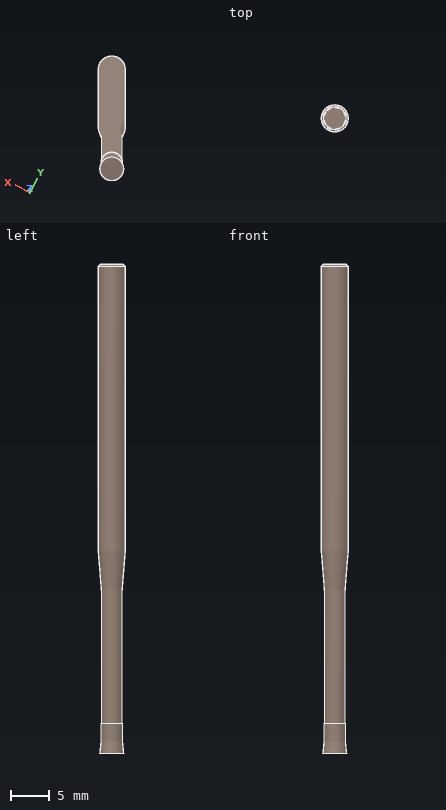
import cadquery as cq

overall_length = 63.0
flare_height = 1.5
head_length = 3.9
neck_top = 21.0
taper_top = 26.0
shank_chamfer_height = 0.3

shank_diameter = 3.5
neck_diameter = 2.7
head_diameter = 2.8
tip_diameter = 3.1
shank_chamfer_width = 0.3


def turned(profile):
    """Revolve a closed (radius, height) outline around the Z axis."""
    return cq.Workplane("YZ").polyline(profile).close().revolve(360, (0, 0, 0), (0, 1, 0))


head = turned([
    (0, 0),
    (tip_diameter / 2, 0),
    (head_diameter / 2, flare_height),
    (head_diameter / 2, head_length),
    (0, head_length),
])

holder = turned([
    (0, head_length),
    (neck_diameter / 2, head_length),
    (neck_diameter / 2, neck_top),
    (shank_diameter / 2, taper_top),
    (shank_diameter / 2, overall_length - shank_chamfer_height),
    (shank_diameter / 2 - shank_chamfer_width, overall_length),
    (0, overall_length),
])

result = cq.Compound.makeCompound([head.val(), holder.val()])